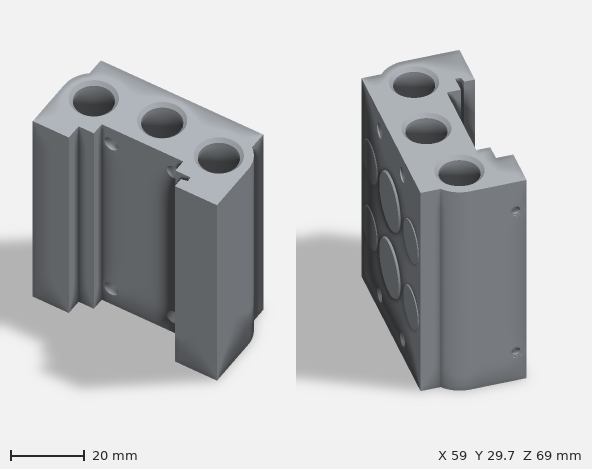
import cadquery as cq
import math


length = 69.0
width = 59.0
back_width = 52.0
overall_depth = 29.7
main_boss_height = 0.6
body_depth = overall_depth - main_boss_height

passage_dia = 11.45
passage_mouth_dia = 13.6
mouth_chamfer = (passage_mouth_dia - passage_dia) / 2
side_passage_x = 20.0
side_passage_y = 16.0
middle_passage_y = 19.0

channel_half_width = 13.05
channel_floor_y = 9.0
ledge_y = 5.0
ledge_half_width = 17.95
lip_x = 16.0
lip_root_y = 3.45
lip_edge_y = 3.05

bolt_hole_dia = 4.5
bolt_spacing_x = 20.0
bolt_spacing_z = 57.0

screw_mouth_dia = 4.3
screw_mouth_depth = 0.1
screw_seat_dia = 3.25
screw_seat_depth = 0.2
screw_bore_dia = 2.5
screw_hole_depth = 6.0
screw_hole_y = 3.0
screw_spacing_z = 49.0

boss_spacing_z = 23.05
main_boss_dia = 17.5
main_boss_chamfer = 0.35
side_boss_dia = 13.0
side_boss_height = 0.3
side_boss_chamfer = 0.2
side_boss_x = 18.0


def body_block():
    """Extrude the section; each shoulder is an arc concentric with its side passage."""
    half = width / 2
    back_half = back_width / 2
    shoulder_radius = half - side_passage_x
    corner_angle = math.acos((back_half - side_passage_x) / shoulder_radius)
    corner_y = side_passage_y + shoulder_radius * math.sin(corner_angle)
    mid_x = side_passage_x + shoulder_radius * math.cos(corner_angle / 2)
    mid_y = side_passage_y + shoulder_radius * math.sin(corner_angle / 2)
    return (
        cq.Workplane("XY", origin=(0, 0, -length / 2))
        .moveTo(-half, 0)
        .lineTo(-ledge_half_width, 0)
        .lineTo(-ledge_half_width, ledge_y)
        .lineTo(-channel_half_width, ledge_y)
        .lineTo(-channel_half_width, channel_floor_y)
        .lineTo(channel_half_width, channel_floor_y)
        .lineTo(channel_half_width, ledge_y)
        .lineTo(ledge_half_width, ledge_y)
        .lineTo(ledge_half_width, lip_root_y)
        .lineTo(lip_x, lip_edge_y)
        .lineTo(lip_x, 0)
        .lineTo(half, 0)
        .lineTo(half, side_passage_y)
        .threePointArc((mid_x, mid_y), (back_half, corner_y))
        .lineTo(back_half, body_depth)
        .lineTo(-back_half, body_depth)
        .lineTo(-back_half, corner_y)
        .threePointArc((-mid_x, mid_y), (-half, side_passage_y))
        .close()
        .extrude(length)
    )


def passage(x, y):
    """Cutter for one passage, flared at both ends."""
    mouth_radius = passage_mouth_dia / 2
    bore_radius = passage_dia / 2
    end_z = length / 2
    flare_z = end_z - mouth_chamfer
    return (
        cq.Workplane("XZ")
        .polyline([
            (0, -end_z),
            (mouth_radius, -end_z),
            (bore_radius, -flare_z),
            (bore_radius, flare_z),
            (mouth_radius, end_z),
            (0, end_z),
        ])
        .close()
        .revolve(360, (0, 0), (0, 1))
        .translate((x, y, 0))
    )


def screw_hole(z):
    """Cutter for one stepped blind hole entering from the left face."""
    return (
        cq.Workplane("XY")
        .polyline([
            (0, 0),
            (0, screw_mouth_dia / 2),
            (screw_mouth_depth, screw_mouth_dia / 2),
            (screw_mouth_depth, screw_seat_dia / 2),
            (screw_seat_depth, screw_seat_dia / 2),
            (screw_seat_depth, screw_bore_dia / 2),
            (screw_hole_depth, screw_bore_dia / 2),
            (screw_hole_depth, 0),
        ])
        .close()
        .revolve(360, (0, 0), (1, 0))
        .translate((-width / 2, screw_hole_y, z))
    )


def back_boss(x, z, diameter, height, chamfer):
    """Round boss standing on the back face, with a chamfered rim."""
    boss = cq.Workplane("XZ", origin=(x, body_depth, z)).circle(diameter / 2).extrude(-height)
    return boss.faces(">Y").chamfer(chamfer)


result = body_block()

for x, y in [
    (-side_passage_x, side_passage_y),
    (0, middle_passage_y),
    (side_passage_x, side_passage_y),
]:
    result = result.cut(passage(x, y))

bolt_holes = (
    cq.Workplane("XZ")
    .rarray(bolt_spacing_x, bolt_spacing_z, 2, 2)
    .circle(bolt_hole_dia / 2)
    .extrude(-body_depth)
)
result = result.cut(bolt_holes)

for side in (-1, 1):
    result = result.cut(screw_hole(side * screw_spacing_z / 2))

for side in (-1, 1):
    boss_z = side * boss_spacing_z / 2
    main_boss = back_boss(0, boss_z, main_boss_dia, main_boss_height, main_boss_chamfer)
    result = result.union(main_boss)
    for boss_x in (-side_boss_x, side_boss_x):
        side_boss = back_boss(boss_x, boss_z, side_boss_dia, side_boss_height, side_boss_chamfer)
        result = result.union(side_boss)